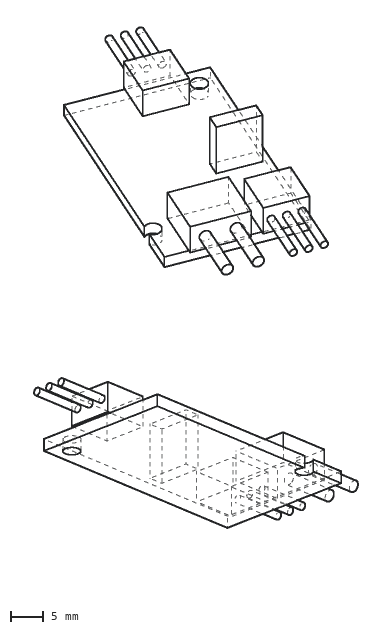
import cadquery as cq

BOARD_LENGTH = 40.0
BOARD_WIDTH = 24.0
BOARD_THICKNESS = 2.0

HOLE_DIAMETER = 2.75
CORNER_HOLE_INSET = 3.0
EDGE_HOLE_INSET_X = 7.0
EDGE_HOLE_INSET_Y = 1.0

PIN_PITCH = 2.54
CONNECTOR_HEIGHT = 5.0
CONNECTOR_OVERHANG = 0.5
WIRE_LENGTH = 8.89

SIGNAL_WIRE_COUNT = 3
SIGNAL_WIRE_DIAMETER = 1.27
SIGNAL_BODY_SIDE = SIGNAL_WIRE_COUNT * PIN_PITCH
LEFT_SIGNAL_START_Y = 10.0
RIGHT_SIGNAL_START_Y = 16.0

POWER_WIRE_COUNT = 2
POWER_WIRE_DIAMETER = 1.91
POWER_WIRE_PITCH = 2 * PIN_PITCH
POWER_BODY_LENGTH = 9.0
POWER_BODY_WIDTH = 10.0
POWER_START_Y = 4.0

UPRIGHT_THICKNESS = 2.6
UPRIGHT_WIDTH = SIGNAL_BODY_SIDE
UPRIGHT_HEIGHT = 9.0
UPRIGHT_START_X = 21.65
UPRIGHT_START_Y = 15.0


def block_on_board(start_x, start_y, length, width, height):
    """Rectangular block standing on the top face of the board."""
    block = cq.Workplane("XY").box(length, width, height, centered=False)
    return block.translate((start_x, start_y, BOARD_THICKNESS))


def make_board():
    """Flat board with its two mounting holes."""
    board = cq.Workplane("XY").box(BOARD_LENGTH, BOARD_WIDTH, BOARD_THICKNESS, centered=False)
    hole_centres = [
        (CORNER_HOLE_INSET, BOARD_WIDTH - CORNER_HOLE_INSET),
        (BOARD_LENGTH - EDGE_HOLE_INSET_X, EDGE_HOLE_INSET_Y),
    ]
    holes = (
        cq.Workplane("XY")
        .pushPoints(hole_centres)
        .circle(HOLE_DIAMETER / 2)
        .extrude(BOARD_THICKNESS)
    )
    return board.cut(holes)


def make_connector(direction, start_y, length, width, wire_count, wire_pitch, wire_diameter):
    """Connector overhanging the left (direction -1) or right (+1) board end, with its row of wires."""
    if direction > 0:
        outer_x = BOARD_LENGTH + CONNECTOR_OVERHANG
        start_x = outer_x - length
    else:
        outer_x = -CONNECTOR_OVERHANG
        start_x = outer_x
    connector = block_on_board(start_x, start_y, length, width, CONNECTOR_HEIGHT)

    middle_y = start_y + width / 2
    middle_z = BOARD_THICKNESS + CONNECTOR_HEIGHT / 2
    wires = (
        cq.Workplane("YZ", origin=(outer_x, middle_y, middle_z))
        .rarray(wire_pitch, 1, wire_count, 1)
        .circle(wire_diameter / 2)
        .extrude(direction * WIRE_LENGTH)
    )
    return connector.union(wires)


def make_signal_connector(direction, start_y):
    """Square three-wire connector."""
    return make_connector(
        direction, start_y, SIGNAL_BODY_SIDE, SIGNAL_BODY_SIDE,
        SIGNAL_WIRE_COUNT, PIN_PITCH, SIGNAL_WIRE_DIAMETER,
    )


def make_power_connector():
    """Larger connector with two thick wires at the right end."""
    return make_connector(
        1, POWER_START_Y, POWER_BODY_LENGTH, POWER_BODY_WIDTH,
        POWER_WIRE_COUNT, POWER_WIRE_PITCH, POWER_WIRE_DIAMETER,
    )


def make_upright():
    """Thin component standing tall on the board."""
    return block_on_board(
        UPRIGHT_START_X, UPRIGHT_START_Y,
        UPRIGHT_THICKNESS, UPRIGHT_WIDTH, UPRIGHT_HEIGHT,
    )


result = (
    make_board()
    .union(make_signal_connector(-1, LEFT_SIGNAL_START_Y))
    .union(make_signal_connector(1, RIGHT_SIGNAL_START_Y))
    .union(make_power_connector())
    .union(make_upright())
)